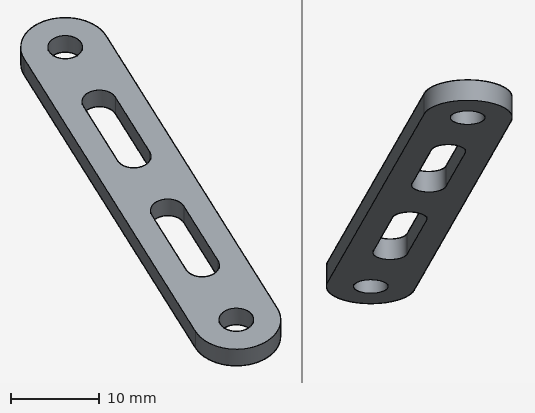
import cadquery as cq

length = 60.0
width = 10.0
thickness = 2.5

hole_diameter = 3.9
hole_spacing = length - width

slot_spacing = 20.0
slot_travel = 10.0
slot_length = slot_travel + hole_diameter

bar = cq.Workplane("XY").slot2D(length, width).extrude(thickness)

end_holes = (
    cq.Workplane("XY")
    .pushPoints([(-hole_spacing / 2, 0), (hole_spacing / 2, 0)])
    .circle(hole_diameter / 2)
    .extrude(thickness)
)

slots = (
    cq.Workplane("XY")
    .pushPoints([(-slot_spacing / 2, 0), (slot_spacing / 2, 0)])
    .slot2D(slot_length, hole_diameter)
    .extrude(thickness)
)

result = bar.cut(end_holes).cut(slots)